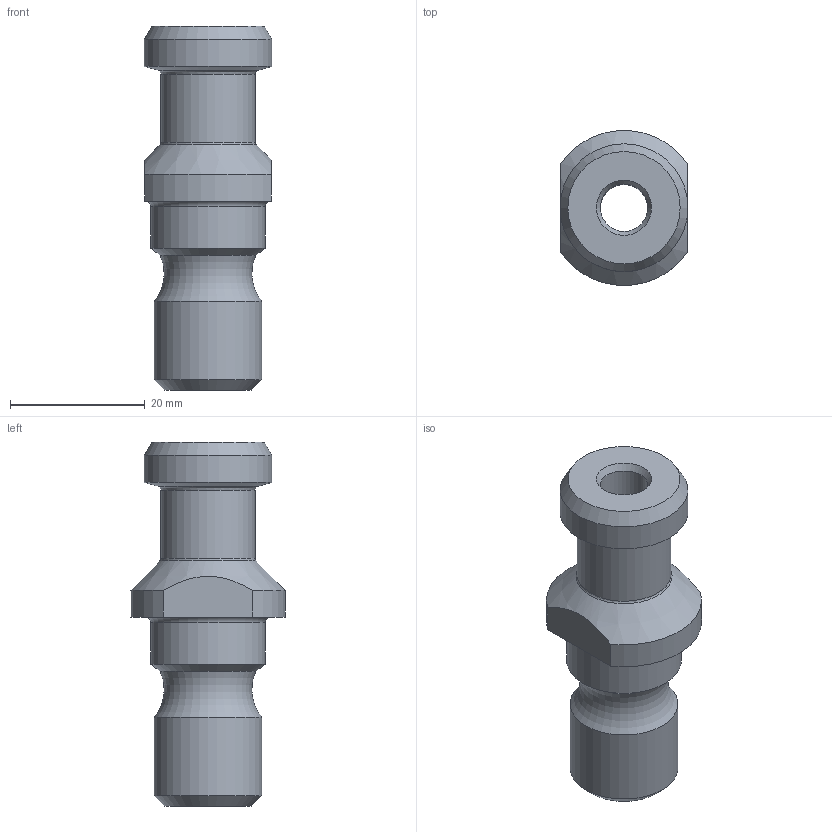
import cadquery as cq
import math

total_length = 53.98
head_chamfer_depth = 2.0
head_rim_end = 6.0
collar_cone_end = 22.0
collar_end = 25.98
pilot_end = 32.95
groove_start = 34.0
groove_waist = 36.7
groove_end = 40.85

head_diameter = 18.97
neck_diameter = 13.95
collar_diameter = 23.0
pilot_diameter = 16.98
shank_diameter = 16.0
groove_start_diameter = 14.2
groove_waist_diameter = 13.0
bore_diameter = 7.01
bore_mouth_diameter = 8.2

head_chamfer_angle = 30.0
head_underside_angle = 15.0
bore_mouth_angle = 30.0
collar_cone_angle = 45.0
shank_chamfer = 1.5
head_neck_fillet = 0.6
neck_collar_fillet = 0.5
collar_pilot_fillet = 0.8

flat_width = 18.8

edge_margin = 0.05


def slope(angle):
    """Tangent of an angle given in degrees."""
    return math.tan(math.radians(angle))


def station(distance_from_top):
    """Z height of a point given its distance below the top face."""
    return total_length - distance_from_top


neck_end = collar_cone_end - (collar_diameter - neck_diameter) / 2 / slope(collar_cone_angle)


def revolved_body():
    """Turned body of the stud with its filleted corners, before the flats and bore are cut."""
    head_r = head_diameter / 2
    neck_r = neck_diameter / 2
    collar_r = collar_diameter / 2
    pilot_r = pilot_diameter / 2
    shank_r = shank_diameter / 2

    head_top_r = head_r - head_chamfer_depth * slope(head_chamfer_angle)
    neck_start = head_rim_end + (head_r - neck_r) * slope(head_underside_angle)

    outline = (
        cq.Workplane("XZ")
        .moveTo(0, 0)
        .lineTo(shank_r - shank_chamfer, 0)
        .lineTo(shank_r, shank_chamfer)
        .lineTo(shank_r, station(groove_end))
        .threePointArc(
            (groove_waist_diameter / 2, station(groove_waist)),
            (groove_start_diameter / 2, station(groove_start)),
        )
        .lineTo(pilot_r, station(pilot_end))
        .lineTo(pilot_r, station(collar_end))
        .lineTo(collar_r, station(collar_end))
        .lineTo(collar_r, station(collar_cone_end))
        .lineTo(neck_r, station(neck_end))
        .lineTo(neck_r, station(neck_start))
        .lineTo(head_r, station(head_rim_end))
        .lineTo(head_r, station(head_chamfer_depth))
        .lineTo(head_top_r, total_length)
        .lineTo(0, total_length)
        .close()
    )
    body = outline.revolve(360, (0, 0, 0), (0, 1, 0))
    body = fillet_corner(body, neck_diameter, neck_start, head_neck_fillet)
    body = fillet_corner(body, neck_diameter, neck_end, neck_collar_fillet)
    return fillet_corner(body, pilot_diameter, collar_end, collar_pilot_fillet)


def fillet_corner(body, diameter, distance_from_top, radius):
    """Round the circular edge of the given diameter at the given station."""
    reach = diameter / 2 + edge_margin
    height = station(distance_from_top)
    corner = cq.selectors.BoxSelector(
        (-reach, -reach, height - edge_margin),
        (reach, reach, height + edge_margin),
        boundingbox=True,
    )
    return body.edges(corner).fillet(radius)


def collar_flats():
    """Two blocks removed from the collar to leave the wrench flats."""
    cut_depth = collar_diameter - flat_width
    cut_height = collar_end - neck_end
    offset = (flat_width + cut_depth) / 2
    return (
        cq.Workplane("XY")
        .workplane(offset=station(collar_end))
        .pushPoints([(-offset, 0), (offset, 0)])
        .rect(cut_depth, collar_diameter)
        .extrude(cut_height)
    )


def bore():
    """Through bore with a conical countersink at the top face."""
    mouth_depth = (bore_mouth_diameter - bore_diameter) / 2 / slope(bore_mouth_angle)
    hole = cq.Workplane("XY").circle(bore_diameter / 2).extrude(total_length)
    mouth = (
        cq.Workplane("XY")
        .workplane(offset=total_length - mouth_depth)
        .circle(bore_diameter / 2)
        .workplane(offset=mouth_depth)
        .circle(bore_mouth_diameter / 2)
        .loft()
    )
    return hole.union(mouth)


result = revolved_body().cut(collar_flats()).cut(bore())